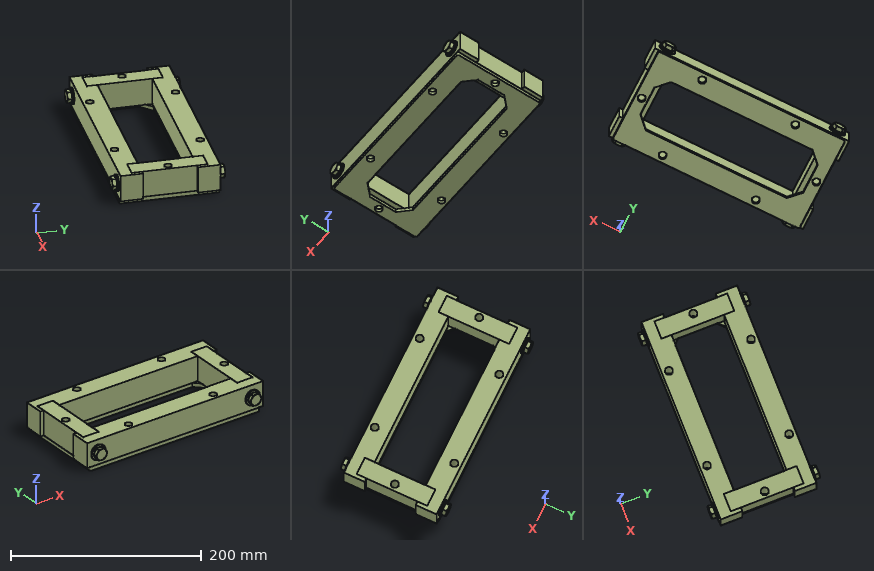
import cadquery as cq
import math

frame_length = 228.0
frame_width = 108.0
frame_height = 30.0
opening_width = 59.3
overall_width = 122.0

cross_bar_width = 20.0
cross_bar_length = 82.0
cross_bar_span = 219.3

gasket_thickness = 5.0
gasket_corner_radius = 2.0
gasket_opening_chamfer = 12.8

hole_diameter = 8.2
long_bar_hole_x = 54.7
long_bar_hole_y = 46.3
cross_bar_hole_x = 102.5

bolt_x = 99.9
flange_diameter = 18.0
flange_thickness = 1.41
collar_diameter = 12.5
collar_height = 0.64
hex_sides = 6
hex_across_flats = 13.0
head_chamfer_height = 0.8

long_bar_width = (frame_width - opening_width) / 2
long_bar_y = (frame_width - long_bar_width) / 2
cross_bar_x = (cross_bar_span - cross_bar_width) / 2
gasket_end_width = cross_bar_span - 2 * cross_bar_hole_x
gasket_opening_length = cross_bar_span - 2 * gasket_end_width
bolt_z = frame_height / 2
bolt_head_height = (overall_width - frame_width) / 2
hex_base = flange_thickness + collar_height
hex_height = bolt_head_height - hex_base
hex_across_corners = hex_across_flats / math.cos(math.pi / hex_sides)
hex_corner_bevel = (hex_across_corners - hex_across_flats) / 2

directions = (-1, 1)


def upright_box(length, width, height, x=0, y=0, z=0):
    """Box centred on (x, y) that rises from z."""
    base = cq.Workplane("XY", origin=(x, y, z))
    return base.box(length, width, height, centered=(True, True, False))


def make_mounting_holes():
    """Six vertical pins that cut the mounting holes through bars and gasket."""
    places = [(sx * long_bar_hole_x, sy * long_bar_hole_y) for sx in directions for sy in directions]
    places += [(sx * cross_bar_hole_x, 0) for sx in directions]
    pins = cq.Workplane("XY", origin=(0, 0, -gasket_thickness)).pushPoints(places)
    return pins.circle(hole_diameter / 2).extrude(gasket_thickness + frame_height)


def make_cross_bar_blank(end):
    """Cross bar without its hole, also the shape of the recesses that hold it."""
    return upright_box(cross_bar_width, cross_bar_length, frame_height, x=end * cross_bar_x)


mounting_holes = make_mounting_holes()


def make_cross_bar(end):
    """Short bar whose ends are let into both long bars."""
    return make_cross_bar_blank(end).cut(mounting_holes)


def make_long_bar(side):
    """Long bar with a full-height recess for each cross bar end."""
    bar = upright_box(frame_length, long_bar_width, frame_height, y=side * long_bar_y)
    for end in directions:
        bar = bar.cut(make_cross_bar_blank(end))
    return bar.cut(mounting_holes)


def make_gasket():
    """Flat gasket under the frame, with rounded corners and a chamfered opening."""
    plate = upright_box(cross_bar_span, frame_width, gasket_thickness, z=-gasket_thickness)
    plate = plate.edges("|Z").fillet(gasket_corner_radius)
    opening = upright_box(gasket_opening_length, opening_width, gasket_thickness, z=-gasket_thickness)
    opening = opening.edges("|Z").chamfer(gasket_opening_chamfer)
    return plate.cut(opening).cut(mounting_holes)


def make_bevelled_hexagon():
    """Hexagon whose top corners are bevelled to leave a round top face."""
    base = cq.Workplane("XY", origin=(0, 0, hex_base))
    hexagon = base.polygon(hex_sides, hex_across_corners).extrude(hex_height)
    bevelled_cylinder = base.circle(hex_across_corners / 2).extrude(hex_height)
    bevelled_cylinder = bevelled_cylinder.faces(">Z").chamfer(head_chamfer_height, hex_corner_bevel)
    return hexagon.intersect(bevelled_cylinder)


def make_bolt_head(end, side):
    """Flanged hexagon head on the outer face of a long bar, with a round collar under the hexagon."""
    flange = cq.Workplane("XY").circle(flange_diameter / 2).extrude(flange_thickness)
    collar = cq.Workplane("XY").circle(collar_diameter / 2).extrude(hex_base)
    head = flange.union(collar).union(make_bevelled_hexagon())
    head = head.rotate((0, 0, 0), (1, 0, 0), -side * 90)
    return head.translate((end * bolt_x, side * frame_width / 2, bolt_z))


long_bars = [make_long_bar(side) for side in directions]
cross_bars = [make_cross_bar(end) for end in directions]
gasket = make_gasket()
bolt_heads = [make_bolt_head(end, side) for end in directions for side in directions]

bodies = [*long_bars, *cross_bars, gasket, *bolt_heads]
result = cq.Compound.makeCompound([body.solids().val() for body in bodies])